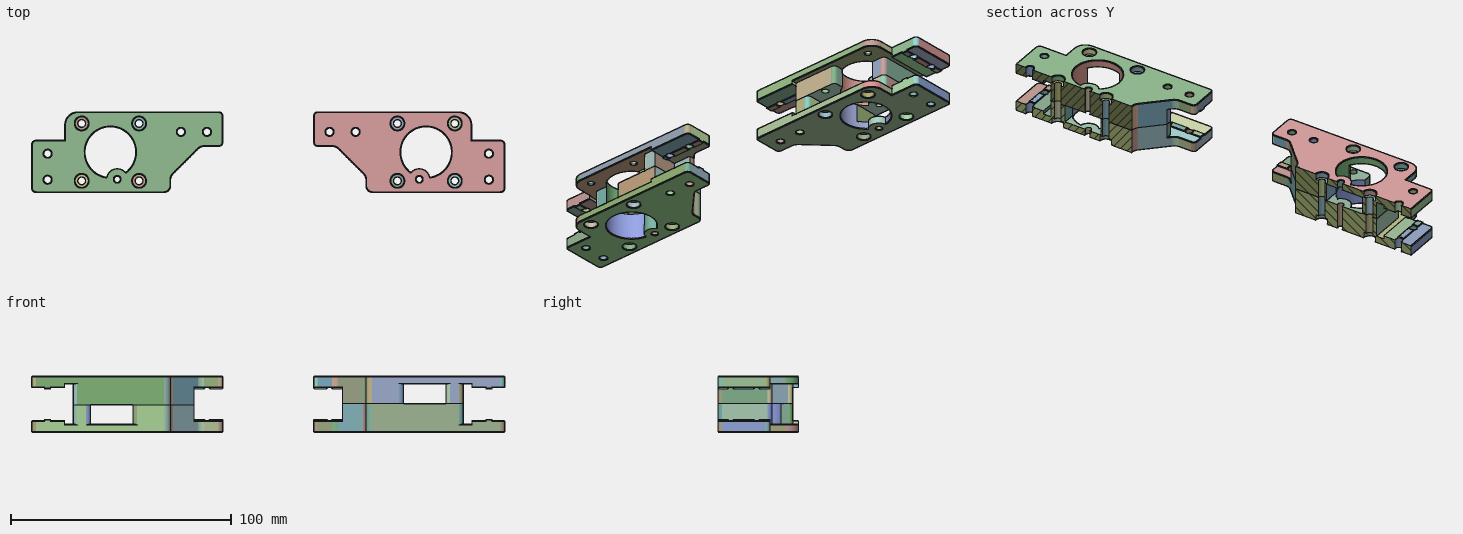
import cadquery as cq

total_length = 214.45
depth = 36.58
total_height = 25.53
mount_length = 86.7

split_offset = 0.3
plate_thickness = 3.7
half_height = total_height / 2

bore_to_tab_end = 35.7
bore_diameter = 23.0
tab_length = 15.0
tab_depth = 23.7
arm_depth = 15.7
foot_length = 63.0
diagonal_start = 7.3
corner_radius = 2.0
shoulder_radius = 6.0
foot_radius = 3.0
diagonal_radius = 4.0
edge_chamfer = 0.35

x_tab_end = -bore_to_tab_end
x_arm_end = x_tab_end + mount_length
x_shoulder = x_tab_end + tab_length
x_foot = x_tab_end + foot_length
y_front = -depth / 2
y_back = depth / 2
y_tab = y_front + tab_depth
y_arm = y_back - arm_depth
y_diagonal = y_front + diagonal_start
x_diagonal = x_foot + y_arm - y_diagonal

core_tab_setback = 18.8
core_arm_setback = 13.1
core_back_setback = 2.6
x_core = x_tab_end + core_tab_setback
x_core_arm = x_arm_end - core_arm_setback
y_core_back = y_back - core_back_setback
y_post = 6.3
x_window_start = -8.9
x_window_end = 10.2
x_open_recess = 21.0
x_closed_recess = 4.9
x_arm_recess = 28.5

pad_thickness = 5.3
ridge_height = 0.6
ridge_width = 2.8
ridge_top = pad_thickness + ridge_height

clamp_diameter = 3.4
clamp_inset = 7.25
clamp_spacing = 11.8
tab_hole_front_inset = 5.8
arm_hole_back_inset = 9.1
tab_hole_x = x_tab_end + clamp_inset
tab_hole_y = (y_front + tab_hole_front_inset, y_front + tab_hole_front_inset + clamp_spacing)
arm_hole_x = (x_arm_end - clamp_inset, x_arm_end - clamp_inset - clamp_spacing)
arm_hole_y = y_back - arm_hole_back_inset
screw_spacing = 26.0
screw_diameter = 3.4
head_diameter = 6.0
head_depth = 3.0
boss_x = 3.1
boss_y = -12.3
boss_diameter = 9.6
boss_hole_diameter = 2.8


def block(x0, x1, y0, y1, z0, z1):
    return cq.Workplane("XY").box(x1 - x0, y1 - y0, z1 - z0, centered=False).translate((x0, y0, z0))


def cylinder(x, y, diameter, z0, z1):
    return cq.Workplane("XY", origin=(x, y, z0)).circle(diameter / 2).extrude(z1 - z0)


def round_edge(body, x, y, radius):
    """Round the vertical edge at (x, y)."""
    reach = 0.01
    low_corner = (x - reach, y - reach, -total_height)
    high_corner = (x + reach, y + reach, total_height)
    box = cq.selectors.BoxSelector(low_corner, high_corner)
    return body.edges("|Z").edges(box).fillet(radius)


def outline(height):
    """Outside shape of a mount, standing on z = 0."""
    corners = [
        (x_tab_end, y_front, corner_radius),
        (x_foot, y_front, foot_radius),
        (x_foot, y_diagonal, diagonal_radius),
        (x_diagonal, y_arm, diagonal_radius),
        (x_arm_end, y_arm, corner_radius),
        (x_arm_end, y_back, corner_radius),
        (x_shoulder, y_back, shoulder_radius),
        (x_shoulder, y_tab, None),
        (x_tab_end, y_tab, corner_radius),
    ]
    body = cq.Workplane("XY").polyline([(x, y) for x, y, _ in corners]).close().extrude(height)
    for x, y, radius in corners:
        if radius:
            body = round_edge(body, x, y, radius)
    return body


def slab(thickness):
    """Full outline with chamfered rims on both faces."""
    return outline(thickness).faces("<Z or >Z").chamfer(edge_chamfer)


def core(height, x_recess):
    """Wall block between the plates, open at the back up to x_recess and at the arm."""
    body = block(x_core, x_core_arm, y_front, y_core_back, 0, height)
    body = body.cut(block(x_core, x_recess, y_post, y_core_back, 0, height))
    body = body.cut(block(x_arm_recess, x_core_arm, y_arm, y_core_back, 0, height))
    for x, y in ((x_core, y_front), (x_core, y_post), (x_recess, y_core_back)):
        body = round_edge(body, x, y, corner_radius)
    return body.intersect(outline(height).faces("<Z").chamfer(edge_chamfer))


def pads():
    """Thicker clamping areas on the tab and the arm."""
    tab = block(x_tab_end, x_shoulder, y_front, y_tab, 0, pad_thickness)
    arm = block(x_arm_recess, x_core_arm, y_arm, y_back, 0, pad_thickness)
    arm_tip = block(x_core_arm, x_arm_end, y_front, y_back, 0, pad_thickness)
    return slab(pad_thickness).intersect(tab.union(arm).union(arm_tip))


def ridges():
    """Raised strips through the clamp holes of the tab and the arm."""
    half_width = ridge_width / 2
    tab = block(tab_hole_x - half_width, tab_hole_x + half_width, y_front, y_tab, 0, ridge_top)
    arm = block(x_arm_recess, x_arm_end, arm_hole_y - half_width, arm_hole_y + half_width, 0, ridge_top)
    return slab(ridge_top).intersect(tab.union(arm))


def hole(x, y, diameter, z_end):
    """Hole from z = 0 to z_end with a countersunk rim at z = 0."""
    radius = diameter / 2
    profile = [
        (0, 0),
        (radius + edge_chamfer, 0),
        (radius, edge_chamfer),
        (radius, z_end),
        (0, z_end),
    ]
    return cq.Workplane("XZ").polyline(profile).close().revolve(360, (0, 0), (0, 1)).translate((x, y, 0))


def bore(height):
    """Motor bore with the boss left standing in it, its rim countersunk at z = 0."""
    boss = cylinder(boss_x, boss_y, boss_diameter, 0, height)
    return hole(0, 0, bore_diameter, height).cut(boss)


def clamp_hole(x, y, height):
    """Clamp screw hole, also countersunk where it leaves the ridge."""
    outer = hole(x, y, clamp_diameter, height)
    inner = hole(0, 0, clamp_diameter, ridge_top).mirror("XY").translate((x, y, ridge_top))
    return outer.union(inner)


def screw_holes(height):
    holes = hole(boss_x, boss_y, boss_hole_diameter, height)
    for y in tab_hole_y:
        holes = holes.union(clamp_hole(tab_hole_x, y, height))
    for x in arm_hole_x:
        holes = holes.union(clamp_hole(x, arm_hole_y, height))
    for x in (-screw_spacing / 2, screw_spacing / 2):
        for y in (-screw_spacing / 2, screw_spacing / 2):
            holes = holes.union(cylinder(x, y, screw_diameter, 0, height))
            holes = holes.union(hole(x, y, head_diameter, head_depth))
    return holes


def window(height):
    """Opening through the front wall with rounded jambs."""
    x_flare_start = x_window_start - corner_radius
    x_flare_end = x_window_end + corner_radius
    y_flare = y_front + corner_radius
    opening = block(x_window_start, x_window_end, y_front, y_back, 0, height)
    flare = block(x_flare_start, x_flare_end, y_front, y_flare, 0, height)
    for x in (x_flare_start, x_flare_end):
        flare = flare.cut(cylinder(x, y_flare, 2 * corner_radius, 0, height))
    return opening.union(flare)


def mount_half(walls, height):
    """Half of a mount, outer face down on z = 0 and split face at z = height."""
    solid = slab(plate_thickness).union(pads()).union(ridges()).union(walls)
    return solid.cut(bore(height)).cut(screw_holes(height))


def window_half():
    """Lower half of the left mount, with the window in its front wall."""
    height = half_height - split_offset
    walls = core(height, x_open_recess).cut(window(height))
    return mount_half(walls, height).translate((0, 0, -half_height))


def closed_half():
    """Upper half of the left mount, with a closed front wall."""
    height = half_height + split_offset
    walls = core(height, x_closed_recess)
    return mount_half(walls, height).mirror("XY").translate((0, 0, half_height))


mount_shift = (-total_length / 2 - x_tab_end, 0, 0)
bodies = []
for half_body in (window_half(), closed_half()):
    left = half_body.translate(mount_shift)
    right = left.rotate((0, 0, 0), (0, 1, 0), 180)
    bodies += [left.solids().val(), right.solids().val()]

result = cq.Compound.makeCompound(bodies)